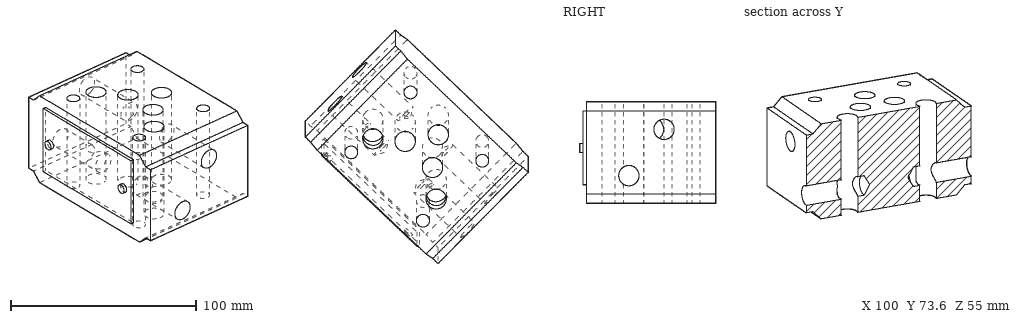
import cadquery as cq
import math

length = 100.0
depth = 70.0
height = 55.0
chamfer = 5.0
ledge_width = 4.0

plate_length = 72.0
plate_height = 40.0
plate_thickness = 1.8
plate_centre_z = 2.5
pin_diameter = 5.0
pin_spacing = 60.0
pin_height = 1.8

bolt_diameter = 7.0
bolt_spacing_x = 54.0
bolt_spacing_y = 46.0
port_diameter = 11.0
pressure_row = 6.3
work_row = 21.4
work_spacing = 20.6
tank_row = 32.5
tank_spacing = 47.6

drilling_diameter = 11.0
drilling_depth = 35.0
drill_point_angle = 118.0
upper_drilling = (7.0, 12.5)
lower_drilling = (-12.0, -12.5)


def make_block():
    """Extrude the end profile, with the front face at y = -depth / 2."""
    half_length = length / 2
    half_height = height / 2
    ledge_z = half_height - chamfer
    chamfer_foot = half_length - ledge_width
    chamfer_top = chamfer_foot - chamfer
    upper_right = [(half_length, ledge_z), (chamfer_foot, ledge_z), (chamfer_top, half_height)]
    upper_left = [(-x, z) for x, z in reversed(upper_right)]
    lower = [(-x, -z) for x, z in upper_right + upper_left]
    outline = upper_right + upper_left + lower
    return cq.Workplane("XZ").polyline(outline).close().extrude(depth / 2, both=True)


def make_name_plate():
    """Plate and pins standing out from the front face toward -Y."""
    front = cq.Workplane("XZ", origin=(0, -depth / 2, plate_centre_z))
    plate = front.rect(plate_length, plate_height).extrude(plate_thickness)
    pins = (
        front.pushPoints([(-pin_spacing / 2, 0), (pin_spacing / 2, 0)])
        .circle(pin_diameter / 2)
        .extrude(plate_thickness + pin_height)
    )
    return plate.union(pins)


def make_vertical_holes(points, diameter):
    """Cylinders passing through the full height of the block."""
    bottom = cq.Workplane("XY", origin=(0, 0, -height / 2))
    return bottom.pushPoints(points).circle(diameter / 2).extrude(height)


def make_end_drilling(y, z):
    """Blind drilling with a conical tip, entering from the -X end."""
    radius = drilling_diameter / 2
    tip_length = radius / math.tan(math.radians(drill_point_angle / 2))
    half_section = [(0, 0), (drilling_depth + tip_length, 0), (drilling_depth, radius), (0, radius)]
    drilling = cq.Workplane("XY").polyline(half_section).close().revolve(360, (0, 0), (1, 0))
    return drilling.translate((-length / 2, y, z))


rear_row = bolt_spacing_y / 2
bolt_points = [
    (x * bolt_spacing_x / 2, y * bolt_spacing_y / 2)
    for x in (-1, 1)
    for y in (-1, 1)
]
port_points = [(0, rear_row - pressure_row)]
for spacing, row in ((work_spacing, work_row), (tank_spacing, tank_row)):
    port_points += [(-spacing / 2, rear_row - row), (spacing / 2, rear_row - row)]

result = make_block().union(make_name_plate())
result = result.cut(make_vertical_holes(bolt_points, bolt_diameter))
result = result.cut(make_vertical_holes(port_points, port_diameter))
for drilling_centre in (upper_drilling, lower_drilling):
    left_drilling = make_end_drilling(*drilling_centre)
    right_drilling = left_drilling.mirror("YZ")
    result = result.cut(left_drilling).cut(right_drilling)